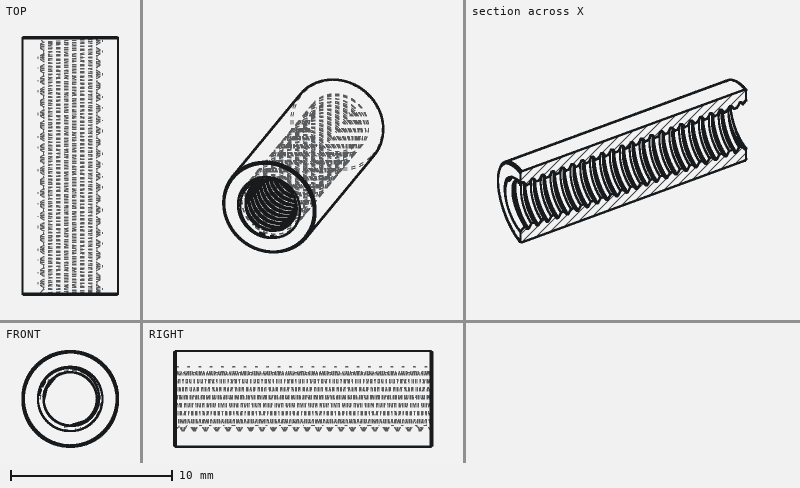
import cadquery as cq
import math

OUTER_DIAMETER = 5.95
LENGTH = 16.0
RIM_CHAMFER = 0.1

PITCH = 0.7
MAJOR_DIAMETER = 4.0
MINOR_DIAMETER = 3.3
FLANK_HALF_ANGLE = 30.0
ROOT_FLAT = PITCH / 8
THREAD_START = -1.17
THREAD_TURNS = math.ceil((LENGTH - THREAD_START) / PITCH) + 1

COUNTERSINK_DIAMETER = 4.0
COUNTERSINK_HALF_ANGLE = 45.0


def solid_blank():
    """Solid cylinder standing on the XY plane, with chamfered outer rims."""
    cylinder = cq.Workplane("XY").circle(OUTER_DIAMETER / 2).extrude(LENGTH)
    return cylinder.faces("<Z or >Z").chamfer(RIM_CHAMFER)


def countersink():
    """Cone that opens the bore at the bottom end face."""
    mouth_radius = COUNTERSINK_DIAMETER / 2
    tip_depth = mouth_radius / math.tan(math.radians(COUNTERSINK_HALF_ANGLE))
    return cq.Workplane(cq.Solid.makeCone(mouth_radius, 0, tip_depth))


def thread_profile():
    """(radius, height) corners of one pitch: flank, root flat, flank, crest flat."""
    minor_radius = MINOR_DIAMETER / 2
    major_radius = MAJOR_DIAMETER / 2
    half_root = ROOT_FLAT / 2
    half_mouth = half_root + (major_radius - minor_radius) * math.tan(math.radians(FLANK_HALF_ANGLE))
    return [
        (minor_radius, -half_mouth),
        (major_radius, -half_root),
        (major_radius, half_root),
        (minor_radius, half_mouth),
        (minor_radius, PITCH - half_mouth),
    ]


def helix_edge(radius, height, turns):
    """Right-handed helix about Z that starts on the +X side at the given height."""
    helix = cq.Wire.makeHelix(PITCH, turns * PITCH, radius)
    return helix.translate(cq.Vector(0, 0, height)).Edges()[0]


def plug_end(profile, height):
    """Faces closing one end of the plug: a radial wall and a one-turn ramp to the axis."""
    first_radius, first_offset = profile[0]
    axis_low = cq.Vector(0, 0, height + first_offset)
    axis_high = axis_low + cq.Vector(0, 0, PITCH)
    corners = [cq.Vector(radius, 0, height + offset) for radius, offset in profile]
    outline = cq.Wire.makePolygon([axis_low, *corners, axis_high], close=True)
    wall = cq.Face.makeFromWires(outline)
    ramp_edge = helix_edge(first_radius, axis_low.z, 1)
    ramp = cq.Face.makeRuledSurface(ramp_edge, cq.Edge.makeLine(axis_low, axis_high))
    return [wall, ramp]


def threaded_plug():
    """Solid of the space inside the thread: the bore together with its helical groove."""
    profile = thread_profile()
    helices = [helix_edge(radius, THREAD_START + offset, THREAD_TURNS) for radius, offset in profile]
    faces = [cq.Face.makeRuledSurface(low, high) for low, high in zip(helices, helices[1:])]
    faces += plug_end(profile, THREAD_START)
    faces += plug_end(profile, THREAD_START + THREAD_TURNS * PITCH)
    return cq.Workplane(cq.Solid.makeSolid(cq.Shell.makeShell(faces)))


bottom_countersink = countersink()
top_countersink = bottom_countersink.mirror("XY").translate((0, 0, LENGTH))

threaded = solid_blank().cut(threaded_plug())
upright = threaded.cut(bottom_countersink).cut(top_countersink)

result = upright.translate((0, 0, -LENGTH / 2)).rotate((0, 0, 0), (1, 0, 0), 90).solids()